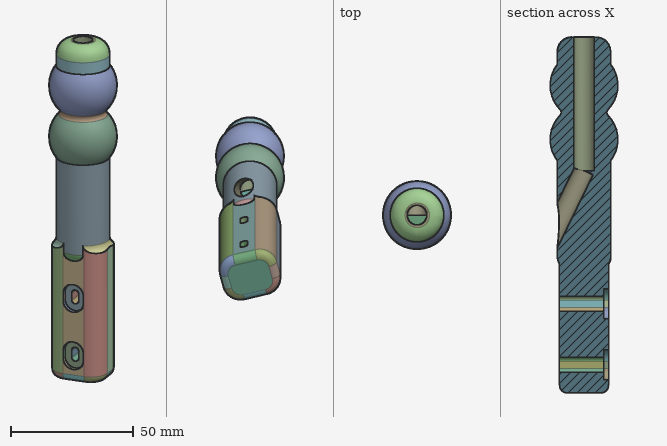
import cadquery as cq
import math

total_height = 146.0
stem_radius = 11.02
stem_end_fillet = 6.0
stem_bottom = 50.1

ball_radius = 14.0
neck_height = 115.0
ball_offset = 11.1
neck_fillet = 1.9
top_center = neck_height + ball_offset
bottom_center = neck_height - ball_offset
cut_offset = math.sqrt(ball_radius**2 - stem_radius**2)
balls_top = top_center + cut_offset
balls_bottom = bottom_center - cut_offset

block_width = 24.0
block_depth = 20.3
block_top = 56.2
block_corner = 7.3
block_bottom_fillet = 3.4
stem_blend_radius = 4.0

bore_diameter = 8.0
bore_bottom = 91.2
outlet_angle = 26.0
outlet_length = 36.5

slot_heights = (11.7, 36.6)
slot_width = 3.0
slot_length = 6.0
counterbore_width = 9.0
counterbore_length = 12.0
counterbore_depth = 2.0


def make_stem():
    """Round stem below the balls and its short tip above them, with rounded ends."""
    lower = cq.Workplane("XY").workplane(offset=stem_bottom).circle(stem_radius)
    lower = lower.extrude(balls_bottom - stem_bottom)
    lower = lower.faces("<Z").edges().fillet(stem_end_fillet)
    tip = cq.Workplane("XY").workplane(offset=balls_top).circle(stem_radius)
    tip = tip.extrude(total_height - balls_top)
    tip = tip.faces(">Z").edges().fillet(stem_end_fillet)
    return lower, tip


def make_balls():
    """Two truncated balls and their neck, revolved about Z."""
    arc_center = math.sqrt((ball_radius + neck_fillet) ** 2 - ball_offset**2)
    tangent_radius = arc_center * ball_radius / (ball_radius + neck_fillet)
    tangent_offset = ball_offset * neck_fillet / (ball_radius + neck_fillet)
    profile = (
        cq.Workplane("XZ")
        .moveTo(0, balls_bottom)
        .lineTo(stem_radius, balls_bottom)
        .threePointArc((ball_radius, bottom_center), (tangent_radius, neck_height - tangent_offset))
        .threePointArc(
            (arc_center - neck_fillet, neck_height),
            (tangent_radius, neck_height + tangent_offset),
        )
        .threePointArc((ball_radius, top_center), (stem_radius, balls_top))
        .lineTo(0, balls_top)
        .close()
    )
    return profile.revolve(360, (0, 0, 0), (0, 1, 0))


def make_block():
    """Mounting block whose top blends up to the stem in a concave sweep."""
    blend_top = block_top + stem_blend_radius
    block = cq.Workplane("XY").rect(block_width, block_depth).extrude(blend_top)
    block = block.edges("|Z").fillet(block_corner)
    block = block.faces("<Z").edges().fillet(block_bottom_fillet)
    blend_outer = stem_radius + stem_blend_radius
    arc_reach = stem_blend_radius * math.sqrt(0.5)
    envelope = (
        cq.Workplane("XZ")
        .lineTo(blend_outer, 0)
        .lineTo(blend_outer, block_top)
        .threePointArc((blend_outer - arc_reach, blend_top - arc_reach), (stem_radius, blend_top))
        .lineTo(0, blend_top)
        .close()
        .revolve(360, (0, 0, 0), (0, 1, 0))
    )
    return block.intersect(envelope)


def make_bore():
    """Vertical bore and the slanted outlet that starts at its bottom centre."""
    bore_radius = bore_diameter / 2
    bore = cq.Workplane("XY").workplane(offset=bore_bottom).circle(bore_radius)
    bore = bore.extrude(total_height - bore_bottom)
    angle = math.radians(outlet_angle)
    outlet = cq.Solid.makeCylinder(
        bore_radius,
        outlet_length,
        cq.Vector(0, 0, bore_bottom),
        cq.Vector(0, math.sin(angle), -math.cos(angle)),
    )
    return bore.union(cq.Workplane(outlet))


def upright_slot(height, length, width, depth):
    """Upright slot cutter that goes in from the front face of the block."""
    front = cq.Workplane("XZ", origin=(0, -block_depth / 2, height))
    return front.slot2D(length, width, 90).extrude(-depth)


lower_stem, stem_tip = make_stem()
result = make_block().union(lower_stem).union(make_balls()).union(stem_tip)
result = result.cut(make_bore())
for slot_height in slot_heights:
    result = result.cut(upright_slot(slot_height, slot_length, slot_width, block_depth))
    result = result.cut(
        upright_slot(slot_height, counterbore_length, counterbore_width, counterbore_depth)
    )